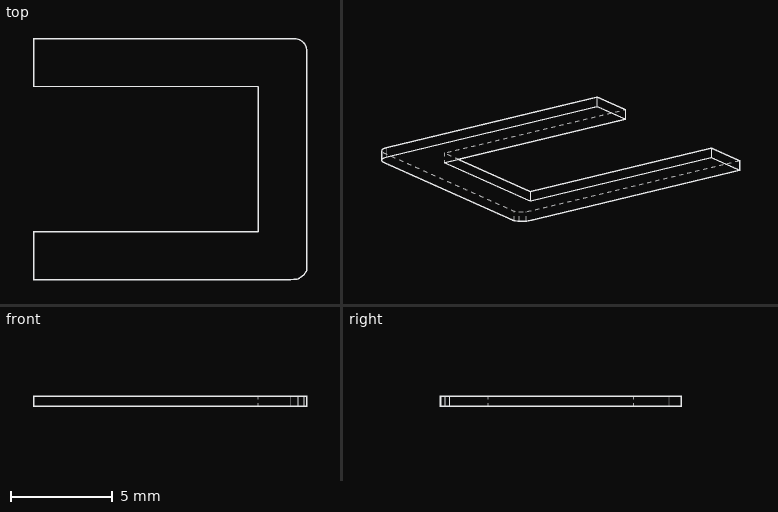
import cadquery as cq

length = 13.41
width = 11.84
thickness = 0.5
right = length / 2
back = width / 2

arm_width = 2.36
crossbar_width = 2.39

corner_radius = 0.6

facet_ends = [
    (0.8, 0.0),
    (0.43, 0.03),
    (0.15, 0.23),
    (0.0, 0.45),
]


def outer_plate():
    """Plate with its -Y outer corner cut into flat facets and its +Y one rounded."""
    faceted_corner = [(right - from_side, from_front - back) for from_side, from_front in facet_ends]
    outline = [(-right, back), (-right, -back), *faceted_corner, (right, back)]
    plate = cq.Workplane("XY").polyline(outline).close().extrude(thickness)
    return plate.edges("|Z").edges(">(1, 1, 0)").fillet(corner_radius)


def arm_gap():
    """Rectangular space between the arms, open at the -X end."""
    gap_length = length - crossbar_width
    gap_width = width - 2 * arm_width
    gap = cq.Workplane("XY").box(gap_length, gap_width, thickness, centered=(False, True, False))
    return gap.translate((-right, 0, 0))


result = outer_plate().cut(arm_gap())